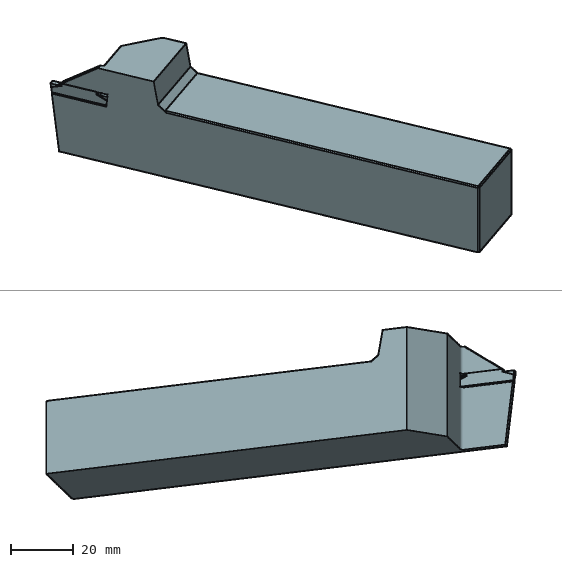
import cadquery as cq

length = 150.0
width = 25.2
height = 35.0
overshoot = 1.5

shank_height = 24.8
nose_foot_x = 3.0
lip_x = 0.5
slope_foot_x = 3.9
tower_start_x = 16.6
tower_end_x = 36.2
heel_top_x = 37.6
heel_top_z = 26.5
heel_foot_x = 40.0
shank_chamfer = 0.5

blade_thickness = 1.8
block_x = 17.8
block_corner = 10.0
blade_root_radius = 0.9

seat_floor = 21.2
seat_roof = 25.8
insert_length = 20.0
cutting_edge_z = 24.9
land_length = 2.7
groove_run = 0.2
groove_z = 24.6
crown_inset = 3.9
end_relief = 0.5
floor_chamfer = 0.6
side_relief = 0.2
relief_low_z = 23.4


def front_prism(points, start_y, end_y):
    """Extrude an XZ outline from start_y to end_y."""
    return (
        cq.Workplane("XZ", origin=(0, start_y, 0))
        .polyline(points)
        .close()
        .extrude(start_y - end_y)
    )


def make_seat():
    """Through slot that locates the insert."""
    points = [
        (-overshoot, seat_floor),
        (insert_length - end_relief, seat_floor),
        (insert_length, cutting_edge_z),
        (insert_length, seat_roof),
        (-overshoot, seat_roof),
    ]
    return front_prism(points, 0, blade_root_radius + blade_thickness)


def make_holder():
    side_outline = [
        (nose_foot_x, 0),
        (length, 0),
        (length, shank_height),
        (heel_foot_x, shank_height),
        (heel_top_x, heel_top_z),
        (tower_end_x, height),
        (tower_start_x, height),
        (slope_foot_x, seat_roof),
        (lip_x, seat_floor),
    ]
    body = front_prism(side_outline, 0, width)

    shank_front = body.faces("<Y").edges(">X")
    shank_end = body.faces(">X").edges(">Z")
    shank_middle = ((heel_foot_x + length) / 2, 0, shank_height)
    shank_top = body.edges(cq.selectors.NearestToPointSelector(shank_middle))
    body = shank_front.add(shank_end).add(shank_top).chamfer(shank_chamfer)

    root_start_x = block_x - blade_root_radius
    root_top_y = blade_thickness + blade_root_radius
    clearance = (
        cq.Workplane("XY")
        .moveTo(-overshoot, blade_thickness)
        .lineTo(root_start_x, blade_thickness)
        .radiusArc((block_x, root_top_y), -blade_root_radius)
        .lineTo(block_x, width - block_corner)
        .lineTo(block_x + block_corner, width)
        .lineTo(-overshoot, width)
        .close()
        .extrude(height)
    )
    return body.cut(clearance).cut(make_seat())


def make_insert():
    """Double-ended cutting insert, symmetric about its middle."""
    left_half = [
        (end_relief, seat_floor),
        (0, cutting_edge_z),
        (land_length, cutting_edge_z),
        (land_length + groove_run, groove_z),
        (crown_inset, seat_roof),
    ]
    right_half = [(insert_length - x, z) for x, z in reversed(left_half)]
    insert = front_prism(left_half + right_half, 0, blade_thickness)
    insert = insert.faces("<Z").edges("|X").chamfer(floor_chamfer)

    relief_outline = [
        (-overshoot, seat_floor),
        (-overshoot, relief_low_z),
        (0, relief_low_z),
        (crown_inset, cutting_edge_z),
        (crown_inset, seat_roof),
        (insert_length - crown_inset, seat_roof),
        (insert_length - crown_inset, cutting_edge_z),
        (insert_length, relief_low_z),
        (insert_length + overshoot, relief_low_z),
        (insert_length + overshoot, seat_floor),
    ]
    for side_y in (0, blade_thickness - side_relief):
        insert = insert.cut(front_prism(relief_outline, side_y, side_y + side_relief))
    return insert


holder = make_holder()
insert = make_insert()
result = cq.Compound.makeCompound([holder.val(), insert.val()])